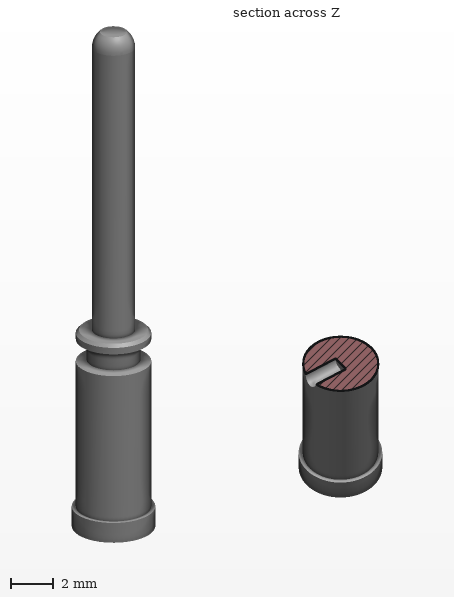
import cadquery as cq
import math

base_diameter = 3.9
base_radius = base_diameter / 2
body_radius = 1.76
neck_radius = 1.25
collar_radius = body_radius
pin_radius = 1.0

base_top = 1.0
body_top = 8.42
collar_bottom = 9.53
collar_top = 10.0
total_height = 25.2

shoulder_rise = 0.08
collar_chamfer = 0.15
nose_height = 0.78

hole_diameter = 0.8
hole_height = 7.0


def nose_radius_at(rise):
    """Radius of the spherical nose at a rise above its equator."""
    return math.sqrt(pin_radius**2 - rise**2)


def turned_body():
    """Revolve the half profile (radius, height) about the Z axis."""
    nose_start = total_height - nose_height
    profile = (
        cq.Workplane("XZ")
        .lineTo(base_radius, 0)
        .lineTo(base_radius, base_top)
        .lineTo(body_radius, base_top)
        .lineTo(body_radius, body_top)
        .lineTo(neck_radius, body_top + shoulder_rise)
        .lineTo(neck_radius, collar_bottom)
        .lineTo(collar_radius, collar_bottom)
        .lineTo(collar_radius, collar_top - collar_chamfer)
        .lineTo(collar_radius - collar_chamfer, collar_top)
        .lineTo(pin_radius, collar_top)
        .lineTo(pin_radius, nose_start)
        .threePointArc(
            (nose_radius_at(nose_height / 2), nose_start + nose_height / 2),
            (nose_radius_at(nose_height), total_height),
        )
        .lineTo(0, total_height)
        .close()
    )
    return profile.revolve(360, (0, 0, 0), (0, 1, 0))


def inspection_hole():
    """Radial cutter running from the axis out through the +Y side."""
    return (
        cq.Workplane("XZ")
        .center(0, hole_height)
        .circle(hole_diameter / 2)
        .extrude(-base_radius)
    )


result = turned_body().cut(inspection_hole())